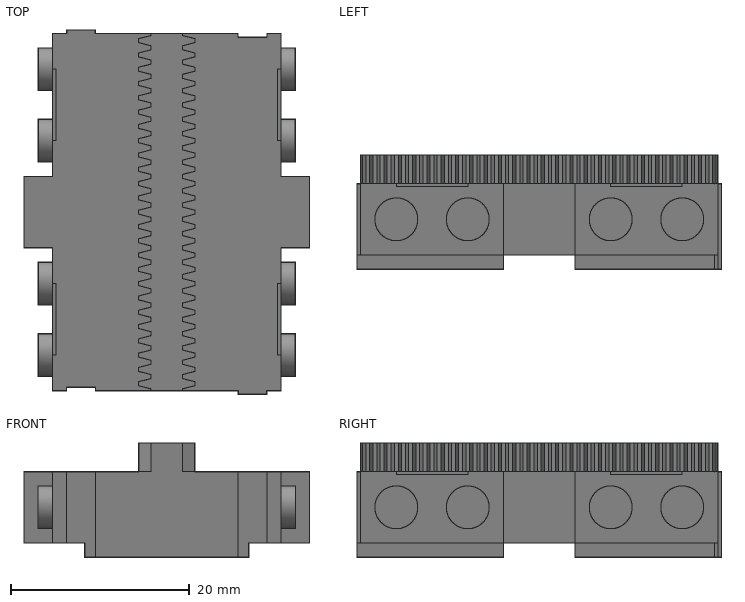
import cadquery as cq
import math

BODY_WIDTH = 25.6
BODY_LENGTH = 40.0
BASE_WIDTH = 18.4
BASE_HEIGHT = 1.6
BODY_TOP = 9.6
BODY_HEIGHT = BODY_TOP - BASE_HEIGHT

WING_SPAN = 32.0
WING_LENGTH = 8.0

KEY_INNER_X = 8.0
KEY_WIDTH = 3.2
KEY_DEPTH = 0.4

STUD_DIAMETER = 4.8
STUD_HEIGHT = 1.6
STUD_Z = BASE_HEIGHT + BODY_HEIGHT / 2
STUD_Y = (-16.0, -8.0, 8.0, 16.0)

REBATE_WIDTH = 0.4
REBATE_DEPTH = 0.3
REBATE_LENGTH = STUD_Y[-1] - STUD_Y[-2]
REBATE_Y = (STUD_Y[-1] + STUD_Y[-2]) / 2

TOOTH_COUNT = 25
TOOTH_PITCH = BODY_LENGTH / TOOTH_COUNT
TOOTH_DEPTH = 1.4
RACK_TIP_X = 3.15
RACK_ROOT_X = RACK_TIP_X - TOOTH_DEPTH
RACK_HEIGHT = 3.2
PRESSURE_ANGLE = 14.5


def box(width, length, height, x=0.0, y=0.0, bottom=0.0):
    """Box centred on (x, y) that stands on the given bottom height."""
    block = cq.Workplane("XY").box(width, length, height, centered=(True, True, False))
    return block.translate((x, y, bottom))


def make_block():
    """Stepped block with the two side wings and the cross channel in its base."""
    base = box(BASE_WIDTH, BODY_LENGTH, BASE_HEIGHT)
    channel = box(BASE_WIDTH, WING_LENGTH, BASE_HEIGHT)
    body = box(BODY_WIDTH, BODY_LENGTH, BODY_HEIGHT, bottom=BASE_HEIGHT)
    wings = box(WING_SPAN, WING_LENGTH, BODY_HEIGHT, bottom=BASE_HEIGHT)
    return body.union(base.cut(channel)).union(wings)


def key_prism(x_side, y):
    """Upright key shape centred on y that follows the step between body and base."""
    key_x = KEY_INNER_X + KEY_WIDTH / 2
    base_part_width = BASE_WIDTH / 2 - KEY_INNER_X
    base_part_x = KEY_INNER_X + base_part_width / 2
    length = 2 * KEY_DEPTH
    upper = box(KEY_WIDTH, length, BODY_HEIGHT, x_side * key_x, y, BASE_HEIGHT)
    lower = box(base_part_width, length, BASE_HEIGHT, x_side * base_part_x, y)
    return upper.union(lower)


def add_keys_and_notches(part):
    """Each end face gets one key and one notch, half a turn apart from the other end."""
    for end in (-1, 1):
        end_y = end * BODY_LENGTH / 2
        part = part.union(key_prism(-end, end_y))
        part = part.cut(key_prism(end, end_y))
    return part


def add_studs(part):
    """Coaxial stud pairs: each rod runs through the body and stands out on both sides."""
    rod_length = BODY_WIDTH + 2 * STUD_HEIGHT
    centres = [(y, STUD_Z) for y in STUD_Y]
    rods = (
        cq.Workplane("YZ")
        .pushPoints(centres)
        .circle(STUD_DIAMETER / 2)
        .extrude(rod_length / 2, both=True)
    )
    return part.union(rods)


def cut_rebates(part):
    rebate_x = (BODY_WIDTH - REBATE_WIDTH) / 2
    for x_side in (-1, 1):
        for y_side in (-1, 1):
            rebate = box(
                REBATE_WIDTH,
                REBATE_LENGTH,
                REBATE_DEPTH,
                x_side * rebate_x,
                y_side * REBATE_Y,
                BODY_TOP - REBATE_DEPTH,
            )
            part = part.cut(rebate)
    return part


def make_rack():
    """Rack toothed on both long sides; teeth and gaps are equal at mid depth."""
    flank_run = TOOTH_DEPTH * math.tan(math.radians(PRESSURE_ANGLE))
    half_tip = (TOOTH_PITCH / 2 - flank_run) / 2
    half_foot = half_tip + flank_run
    half_length = BODY_LENGTH / 2

    right_side = [(RACK_ROOT_X, -half_length)]
    for i in range(TOOTH_COUNT):
        y = -half_length + (i + 0.5) * TOOTH_PITCH
        right_side.append((RACK_ROOT_X, y - half_foot))
        right_side.append((RACK_TIP_X, y - half_tip))
        right_side.append((RACK_TIP_X, y + half_tip))
        right_side.append((RACK_ROOT_X, y + half_foot))
    right_side.append((RACK_ROOT_X, half_length))
    left_side = [(-x, y) for x, y in reversed(right_side)]

    outline = cq.Workplane("XY", origin=(0, 0, BODY_TOP)).polyline(right_side + left_side)
    return outline.close().extrude(RACK_HEIGHT)


result = make_block()
result = add_keys_and_notches(result)
result = add_studs(result)
result = cut_rebates(result)
result = result.union(make_rack())